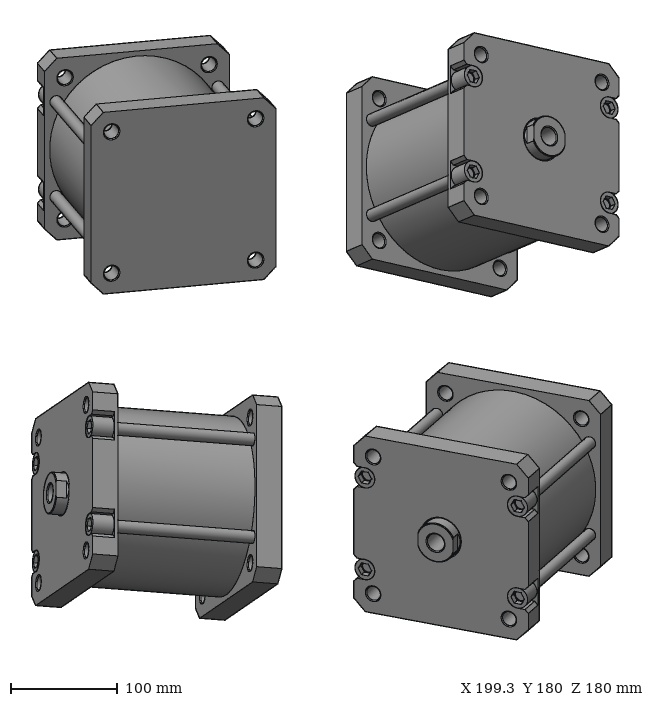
import cadquery as cq
import math

PLATE_SIDE = 180.0
PLATE_THICKNESS = 25.0
PLATE_CORNER_CHAMFER = 12.0
TUBE_LENGTH = 137.0
TUBE_DIAMETER = 170.0
TUBE_BORE = 160.0

MOUNT_HOLE_OFFSET = 70.0
MOUNT_HOLE_DIAMETER = 14.0
MOUNT_HOLE_CHAMFER = 1.0

BOLT_Y = 78.75
BOLT_Z = 47.0
BOLT_DIAMETER = 12.0
BOLT_HEAD_DIAMETER = 20.6
BOLT_HEAD_RECESS = 0.5
BOLT_SOCKET_ACROSS_FLATS = 12.0
BOLT_SOCKET_DEPTH = 6.5
SOCKET_PILOT_DIAMETER = 11.0
SOCKET_PILOT_DEPTH = 0.5
BOLT_END_DEPTH = 15.0
POCKET_WIDTH = BOLT_HEAD_DIAMETER
POCKET_DEPTH = 21.5
POCKET_MOUTH_CHAMFER = 3.4

ROD_DIAMETER = 39.5
ROD_PROTRUSION = 12.25
ROD_TIP_CHAMFER = 0.8
ROD_ACROSS_FLATS = 36.0
ROD_FLAT_LENGTH = 10.5
ROD_FLAT_OVERCUT = 1.0
ROD_THREAD_DIAMETER = 17.5
ROD_THREAD_DEPTH = 30.0
ROD_THREAD_CHAMFER = 1.0
ROD_DRILL_POINT_ANGLE = 120.0
ROD_GUIDE_CHAMFER = 1.2

TUBE_START = PLATE_THICKNESS
REAR_PLATE_START = TUBE_START + TUBE_LENGTH
ROD_TIP = -ROD_PROTRUSION
ROD_END = PLATE_THICKNESS
BOLT_END = REAR_PLATE_START + BOLT_END_DEPTH
SIDES = (-1, 1)
BOLT_PLACES = [(y * BOLT_Y, z * BOLT_Z) for y in SIDES for z in SIDES]
MOUNT_PLACES = [(y * MOUNT_HOLE_OFFSET, z * MOUNT_HOLE_OFFSET) for y in SIDES for z in SIDES]


def plane_at(x):
    """Workplane facing +X at the given X; its local axes are Y and Z."""
    return cq.Workplane("YZ", origin=(x, 0, 0))


def make_plate(start):
    """Square end plate with cut corners and chamfered mounting holes."""
    plate = (
        plane_at(start)
        .rect(PLATE_SIDE, PLATE_SIDE)
        .extrude(PLATE_THICKNESS)
        .edges("|X")
        .chamfer(PLATE_CORNER_CHAMFER)
    )
    plate = plate.cut(
        plane_at(start).pushPoints(MOUNT_PLACES).circle(MOUNT_HOLE_DIAMETER / 2).extrude(PLATE_THICKNESS)
    )
    return plate.edges("%CIRCLE").chamfer(MOUNT_HOLE_CHAMFER)


def make_pocket(side, z):
    """Bolt head pocket: round inner end, open to the plate side through a flared mouth."""
    half_width = POCKET_WIDTH / 2
    half_mouth = half_width + POCKET_MOUTH_CHAMFER
    edge = PLATE_SIDE / 2
    neck = edge - POCKET_MOUTH_CHAMFER
    return (
        plane_at(0)
        .moveTo(side * BOLT_Y, z - half_width)
        .lineTo(side * neck, z - half_width)
        .lineTo(side * edge, z - half_mouth)
        .lineTo(side * edge, z + half_mouth)
        .lineTo(side * neck, z + half_width)
        .lineTo(side * BOLT_Y, z + half_width)
        .threePointArc((side * (BOLT_Y - half_width), z), (side * BOLT_Y, z - half_width))
        .close()
        .extrude(POCKET_DEPTH)
    )


def make_front_plate():
    """End plate with the flared rod guide bore, bolt head pockets and bolt clearance holes."""
    plate = make_plate(0)
    plate = plate.cut(plane_at(0).circle(ROD_DIAMETER / 2).extrude(PLATE_THICKNESS))
    guide_mouth = cq.Solid.makeCone(
        ROD_DIAMETER / 2 + ROD_GUIDE_CHAMFER,
        ROD_DIAMETER / 2,
        ROD_GUIDE_CHAMFER,
        pnt=cq.Vector(0, 0, 0),
        dir=cq.Vector(1, 0, 0),
    )
    plate = plate.cut(cq.Workplane(guide_mouth))
    for side in SIDES:
        for z in (-BOLT_Z, BOLT_Z):
            plate = plate.cut(make_pocket(side, z))
    return plate.cut(plane_at(0).pushPoints(BOLT_PLACES).circle(BOLT_DIAMETER / 2).extrude(PLATE_THICKNESS))


def make_rear_plate():
    """End plate with blind holes for the bolt ends on its inner face."""
    bolt_holes = plane_at(REAR_PLATE_START).pushPoints(BOLT_PLACES).circle(BOLT_DIAMETER / 2)
    return make_plate(REAR_PLATE_START).cut(bolt_holes.extrude(BOLT_END_DEPTH))


def make_tube():
    """Cylinder tube clamped between the two plates."""
    return plane_at(TUBE_START).circle(TUBE_DIAMETER / 2).circle(TUBE_BORE / 2).extrude(TUBE_LENGTH)


def make_rod_flat(side):
    """Material removed for one wrench flat, ending in a 45 degree run-out."""
    flat = ROD_ACROSS_FLATS / 2
    outside = ROD_DIAMETER / 2 + ROD_FLAT_OVERCUT
    flat_end = ROD_TIP + ROD_FLAT_LENGTH
    return (
        cq.Workplane("XY")
        .moveTo(ROD_TIP, side * flat)
        .lineTo(flat_end, side * flat)
        .lineTo(flat_end + outside - flat, side * outside)
        .lineTo(ROD_TIP, side * outside)
        .close()
        .extrude(ROD_DIAMETER / 2, both=True)
    )


def make_rod():
    """Piston rod with two wrench flats and a threaded blind hole in its tip."""
    rod = plane_at(ROD_TIP).circle(ROD_DIAMETER / 2).extrude(ROD_END - ROD_TIP)
    rod = rod.faces("<X").chamfer(ROD_TIP_CHAMFER)
    for side in SIDES:
        rod = rod.cut(make_rod_flat(side))
    radius = ROD_THREAD_DIAMETER / 2
    drill_point = radius / math.tan(math.radians(ROD_DRILL_POINT_ANGLE / 2))
    thread_end = ROD_TIP + ROD_THREAD_DEPTH
    thread = (
        cq.Workplane("XY")
        .moveTo(ROD_TIP, 0)
        .lineTo(ROD_TIP, radius + ROD_THREAD_CHAMFER)
        .lineTo(ROD_TIP + ROD_THREAD_CHAMFER, radius)
        .lineTo(thread_end, radius)
        .lineTo(thread_end + drill_point, 0)
        .close()
        .revolve(360, (0, 0, 0), (1, 0, 0))
    )
    return rod.cut(thread)


def make_bolt(y, z):
    """Socket head bolt running from the front plate pocket into the rear plate."""
    head_length = POCKET_DEPTH - BOLT_HEAD_RECESS
    head = plane_at(BOLT_HEAD_RECESS).center(y, z).circle(BOLT_HEAD_DIAMETER / 2).extrude(head_length)
    shank = plane_at(POCKET_DEPTH).center(y, z).circle(BOLT_DIAMETER / 2).extrude(BOLT_END - POCKET_DEPTH)
    across_corners = BOLT_SOCKET_ACROSS_FLATS / math.cos(math.pi / 6)
    socket = plane_at(BOLT_HEAD_RECESS).center(y, z).polygon(6, across_corners).extrude(BOLT_SOCKET_DEPTH)
    pilot_start = BOLT_HEAD_RECESS + BOLT_SOCKET_DEPTH
    pilot = plane_at(pilot_start).center(y, z).circle(SOCKET_PILOT_DIAMETER / 2).extrude(SOCKET_PILOT_DEPTH)
    return head.union(shank).cut(socket).cut(pilot)


front_plate = make_front_plate()
rear_plate = make_rear_plate()
tube = make_tube()
rod = make_rod()
bolts = [make_bolt(y, z) for y, z in BOLT_PLACES]

result = cq.Compound.makeCompound(
    [front_plate.val(), rear_plate.val(), tube.val(), rod.val(), *[bolt.val() for bolt in bolts]]
)